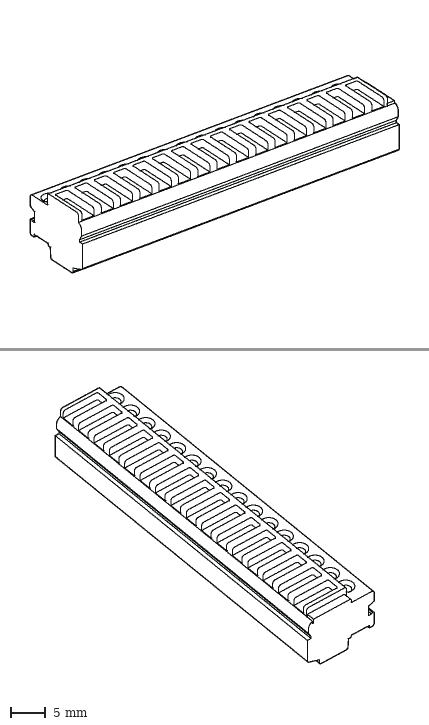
import cadquery as cq
import math

length = 57.5
width = 12.5
height = 10.6
front_y = -length / 2
back_y = length / 2

ledge_z = 8.6
ledge_corner_radius = 0.5

groove_depth = 1.05
groove_floor_z = 4.3
groove_roof_z = 6.1
groove_mouth_z = 6.55
lip_z = 4.55
lip_slope = 0.2
lip_width = 0.5

underside_z = 2.3
foot_z = 1.85
foot_width = 0.9
foot_corner_radius = 0.4

block_left_x = 4.1
block_right_x = 11.5
block_left_corner_radius = 0.35
block_right_corner_radius = 0.45

bulge_x = 12.25
bulge_radius = 1.15
bulge_top_z = 8.0
bulge_bottom_z = 7.15
bulge_shoulder_rise = math.sqrt(bulge_radius**2 - (block_right_x - bulge_x + bulge_radius) ** 2)
bulge_shoulder_z = bulge_top_z + bulge_shoulder_rise
neck_x = 11.8
neck_z = 6.3
shelf_z = 5.9
lower_face_bottom_z = 1.85
lower_face_chamfer_x = 0.25
lower_face_chamfer_z = 0.3

plug_left_x = 4.8
plug_draft = 0.1
plug_left_chamfer = 0.2
plug_right_x = 10.25
plug_right_chamfer_x = 0.2
plug_right_chamfer_z = 0.35
plug_slope_z = 0.9
plug_shoulder_z = 1.9
shoulder_left_x = 4.35
shoulder_slope = 0.2

pole_count = 16
pole_pitch = 3.5
first_hole_y = front_y + 1.6
hole_x = 2.65
hole_top_radius = 1.3
hole_floor_radius = 0.85
hole_depth = 0.6

slot_shift_y = 0.1
slot_width = 2.2
slot_left_x = 5.1
slot_floor_z = 9.2
slot_corner_radius = 0.25

tongue_top_z = 9.4
tongue_length = 1.4
tongue_inset = 0.2


def make_body():
    """Constant cross-section of the housing, extruded along Y."""
    outline = (
        cq.Workplane("XZ", origin=(0, back_y, 0))
        .moveTo(plug_left_x + plug_draft + plug_left_chamfer, 0)
        .lineTo(plug_right_x - plug_right_chamfer_x, 0)
        .lineTo(plug_right_x, plug_right_chamfer_z)
        .lineTo(plug_right_x, plug_slope_z)
        .lineTo(width - lower_face_chamfer_x, lower_face_bottom_z - lower_face_chamfer_z)
        .lineTo(width, lower_face_bottom_z)
        .lineTo(width, shelf_z)
        .lineTo(neck_x, shelf_z)
        .lineTo(neck_x, neck_z)
        .lineTo(bulge_x, bulge_bottom_z)
        .lineTo(bulge_x, bulge_top_z)
        .radiusArc((block_right_x, bulge_shoulder_z), -bulge_radius)
        .lineTo(block_right_x, height)
        .lineTo(block_left_x, height)
        .lineTo(block_left_x, ledge_z)
        .lineTo(0, ledge_z)
        .lineTo(0, groove_mouth_z)
        .lineTo(groove_depth, groove_roof_z)
        .lineTo(groove_depth, groove_floor_z)
        .lineTo(lip_width, groove_floor_z)
        .lineTo(lip_width - lip_slope, lip_z)
        .lineTo(lip_slope, lip_z)
        .lineTo(0, groove_floor_z)
        .lineTo(0, foot_z)
        .lineTo(foot_width, foot_z)
        .lineTo(foot_width, underside_z)
        .lineTo(shoulder_left_x - shoulder_slope, underside_z)
        .lineTo(shoulder_left_x, plug_shoulder_z)
        .lineTo(plug_left_x, plug_shoulder_z)
        .lineTo(plug_left_x + plug_draft, plug_left_chamfer)
        .close()
    )
    return outline.extrude(length)


def round_long_edge(body, x, z, radius):
    """Fillet the full-length edge that runs along Y at (x, z)."""
    return body.edges(cq.selectors.NearestToPointSelector((x, 0, z))).fillet(radius)


def tongue_clearance():
    """Material removed at the back end to leave the low, inset tongue."""
    block_width = block_right_x - block_left_x
    clearance = (
        cq.Workplane("XY")
        .box(block_width, tongue_length, height - ledge_z, centered=False)
        .translate((block_left_x, back_y - tongue_length, ledge_z))
    )
    tongue = (
        cq.Workplane("XY")
        .box(block_width - 2 * tongue_inset, tongue_length, tongue_top_z - ledge_z, centered=False)
        .translate((block_left_x + tongue_inset, back_y - tongue_length, ledge_z))
        .edges("|Y and >Z and <X")
        .fillet(block_left_corner_radius)
    )
    return clearance.cut(tongue)


def screw_hole(y):
    """Shallow conical screw hole in the ledge."""
    return cq.Workplane(
        cq.Solid.makeCone(
            hole_floor_radius,
            hole_top_radius,
            hole_depth,
            pnt=cq.Vector(hole_x, y, ledge_z - hole_depth),
        )
    )


def slot(y):
    """Slot in the block top, open to the right, with rounded inner corners."""
    return (
        cq.Workplane("XY")
        .box(width - slot_left_x, slot_width, height - slot_floor_z, centered=(False, True, False))
        .edges("|Z and <X")
        .fillet(slot_corner_radius)
        .translate((slot_left_x, y, slot_floor_z))
    )


result = make_body()
result = round_long_edge(result, 0, ledge_z, ledge_corner_radius)
result = round_long_edge(result, 0, foot_z, foot_corner_radius)
result = round_long_edge(result, block_left_x, height, block_left_corner_radius)
result = round_long_edge(result, block_right_x, height, block_right_corner_radius)

result = result.cut(tongue_clearance())

for pole in range(pole_count):
    hole_y = first_hole_y + pole * pole_pitch
    result = result.cut(screw_hole(hole_y))
    result = result.cut(slot(hole_y + slot_shift_y))